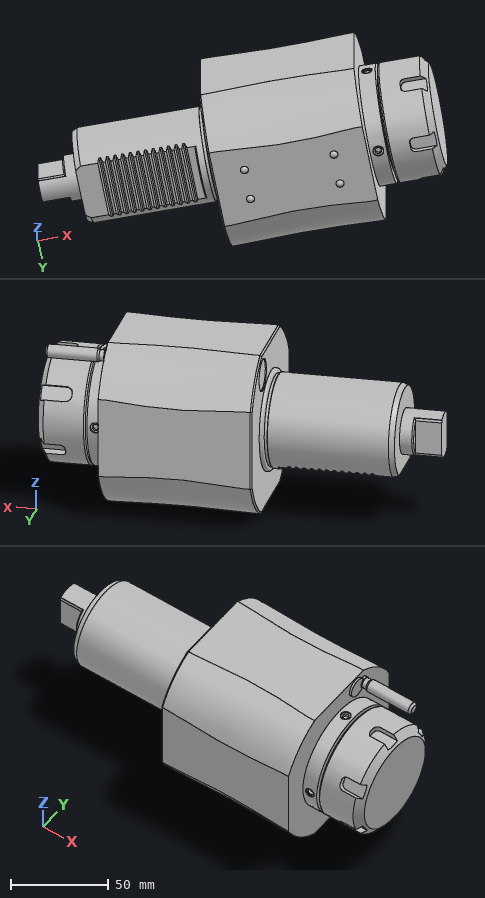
import cadquery as cq


SHANK_START = 21.0
SHANK_END = 87.8
SEAL_START = 89.5
BODY_START = 91.5
BODY_END = 172.5
COLLAR_END = 181.3
NUT_START = 182.3
NUT_RIM = 204.4
NUT_CONE_START = 205.0
NUT_END = 208.0

TANG_RADIUS = 12.0
TANG_HALF_WIDTH = 6.7
TANG_LENGTH = 13.7
TANG_EDGE_START = 9.0
TANG_EDGE_DROP = 0.52
TANG_EDGE_HEIGHT = 1.2
TANG_RIM_CHAMFER = 0.8

SHANK_RADIUS = 25.0
SHANK_LEAD_LENGTH = 3.0
SHANK_LEAD_DROP = 1.2
NECK_RADIUS = 24.3
SEAL_RADIUS = 26.8
SEAL_FILLET = 1.5
FLAT_DEPTH = 20.0
FLAT_END = 83.7
FLAT_END_CHAMFER = 0.6
TOOTH_GAP_COUNT = 12
FIRST_TOOTH_GAP = 34.3
LAST_TOOTH_GAP = 78.2
TOOTH_PITCH = (LAST_TOOTH_GAP - FIRST_TOOTH_GAP) / (TOOTH_GAP_COUNT - 1)
TOOTH_GAP_DEPTH = 1.7
TOOTH_GAP_MOUTH = 2.7
TOOTH_GAP_ROOT = 0.8

BODY_WIDTH = 88.0
BODY_CORNER_RADIUS = 49.0
BODY_WAIST_RADIUS = 48.0
BODY_BAND = 4.5
BODY_CHAMFER = 0.8

RECESS_RADIUS = 8.5
RECESS_DEPTH = 0.6
RECESS_Y = 18.5
RECESS_Z = 32.0

STUD_RADIUS = 2.0
STUD_HEIGHT = 1.7
STUD_SPACING_X = 46.8
STUD_SPACING_Y = 16.9
STUD_FIRST_X = 108.5

NUT_RADIUS = 31.5
GROOVE_RADIUS = 25.4
NUT_BACK_CHAMFER = 0.8
NUT_CONE_RADIUS = 30.8
NUT_FACE_RADIUS = 26.6
SLOT_COUNT = 6
SLOT_WIDTH = 8.0
SLOT_START = 193.5
SLOT_FLOOR_RADIUS = 28.0
SLOT_CORNER = 2.7
LONG_SLOT_START = 190.0
LONG_SLOT_CORNER = 3.7
LONG_SLOT_INDEX = 5
SCREW_COUNT = 4
SCREW_X = 176.9
SCREW_RADIUS = 2.7
SCREW_SINK = 0.8
SOCKET_RADIUS = 1.7
SOCKET_DEPTH = 2.5

PIN_Y = 20.5
PIN_Z = 36.2
PIN_RADIUS = 3.5
PIN_BASE_RADIUS = 3.1
PIN_NECK_RADIUS = 3.0
PIN_NECK_START = 174.2
PIN_NECK_END = 176.7
PIN_BODY_START = 177.7
PIN_END = 205.2
PIN_CHAMFER = 1.2
WASHER_RADIUS = 5.5
WASHER_THICKNESS = 1.2
WASHER_Y = 14.5
WASHER_Z = 37.5


def turned(profile):
    """Revolve (x, radius) points about the X axis; both ends are closed down to the axis."""
    outline = [(profile[0][0], 0)] + profile + [(profile[-1][0], 0)]
    return cq.Workplane("XY").polyline(outline).close().revolve(360, (0, 0, 0), (1, 0, 0))


def rod(start, end, radius, y=0, z=0):
    """Cylinder parallel to X."""
    return cq.Workplane("YZ", origin=(start, y, z)).circle(radius).extrude(end - start)


def make_tang():
    shoulder = turned([
        (TANG_LENGTH, TANG_RADIUS - TANG_RIM_CHAMFER),
        (TANG_LENGTH + TANG_RIM_CHAMFER, TANG_RADIUS),
        (SHANK_START, TANG_RADIUS),
    ])
    edge_end = TANG_EDGE_START + TANG_EDGE_HEIGHT
    edge_width = TANG_HALF_WIDTH - TANG_EDGE_DROP
    blade = (
        cq.Workplane("YZ")
        .moveTo(TANG_HALF_WIDTH, -TANG_EDGE_START)
        .lineTo(TANG_HALF_WIDTH, TANG_EDGE_START)
        .lineTo(edge_width, edge_end)
        .lineTo(edge_width, TANG_RADIUS)
        .lineTo(-edge_width, TANG_RADIUS)
        .lineTo(-edge_width, edge_end)
        .lineTo(-TANG_HALF_WIDTH, TANG_EDGE_START)
        .lineTo(-TANG_HALF_WIDTH, -TANG_EDGE_START)
        .lineTo(-edge_width, -edge_end)
        .lineTo(-edge_width, -TANG_RADIUS)
        .lineTo(edge_width, -TANG_RADIUS)
        .lineTo(edge_width, -edge_end)
        .close()
        .extrude(SHANK_START)
    )
    return shoulder.union(blade.intersect(rod(0, SHANK_START, TANG_RADIUS)))


def make_shank():
    shank = turned([
        (SHANK_START, SHANK_RADIUS - SHANK_LEAD_DROP),
        (SHANK_START + SHANK_LEAD_LENGTH, SHANK_RADIUS),
        (SHANK_END, SHANK_RADIUS),
        (SHANK_END, NECK_RADIUS),
        (BODY_START, NECK_RADIUS),
    ])
    seal = rod(SEAL_START, BODY_START, SEAL_RADIUS).faces("<X").edges().fillet(SEAL_FILLET)

    flat_length = FLAT_END - SHANK_START
    flat_cut = cq.Workplane("XY").box(
        flat_length, 2 * SHANK_RADIUS, SHANK_RADIUS, centered=(False, True, False)
    ).translate((SHANK_START, 0, -FLAT_DEPTH - SHANK_RADIUS))
    shank = shank.cut(flat_cut)
    end_wall = cq.selectors.NearestToPointSelector((FLAT_END, 0, -(FLAT_DEPTH + SHANK_RADIUS) / 2))
    shank = shank.faces(end_wall).edges("%CIRCLE").chamfer(FLAT_END_CHAMFER)

    gap = (
        cq.Workplane("XZ")
        .moveTo(-TOOTH_GAP_MOUTH / 2, -FLAT_DEPTH)
        .lineTo(-TOOTH_GAP_ROOT / 2, -FLAT_DEPTH + TOOTH_GAP_DEPTH)
        .lineTo(TOOTH_GAP_ROOT / 2, -FLAT_DEPTH + TOOTH_GAP_DEPTH)
        .lineTo(TOOTH_GAP_MOUTH / 2, -FLAT_DEPTH)
        .close()
        .extrude(SHANK_RADIUS, both=True)
    )
    for index in range(TOOTH_GAP_COUNT):
        shank = shank.cut(gap.translate((FIRST_TOOTH_GAP + index * TOOTH_PITCH, 0, 0)))
    return shank.union(seal)


def make_body():
    length = BODY_END - BODY_START
    bar = (
        cq.Workplane("YZ", origin=(BODY_START, 0, 0))
        .rect(BODY_WIDTH, BODY_WIDTH)
        .extrude(length)
    )
    corners = (
        cq.Workplane("XY")
        .moveTo(BODY_START, 0)
        .lineTo(BODY_START, BODY_CORNER_RADIUS)
        .lineTo(BODY_START + BODY_BAND, BODY_CORNER_RADIUS)
        .threePointArc(
            (BODY_START + length / 2, BODY_WAIST_RADIUS),
            (BODY_END - BODY_BAND, BODY_CORNER_RADIUS),
        )
        .lineTo(BODY_END, BODY_CORNER_RADIUS)
        .lineTo(BODY_END, 0)
        .close()
        .revolve(360, (0, 0, 0), (1, 0, 0))
    )
    body = bar.intersect(corners).faces("<X").chamfer(BODY_CHAMFER)
    recess = rod(BODY_START, BODY_START + RECESS_DEPTH, RECESS_RADIUS, RECESS_Y, RECESS_Z)
    return body.cut(recess)


def make_studs():
    ball_radius = (STUD_RADIUS**2 + STUD_HEIGHT**2) / (2 * STUD_HEIGHT)
    ball_z = -BODY_WIDTH / 2 - STUD_HEIGHT + ball_radius
    return (
        cq.Workplane("XY", origin=(STUD_FIRST_X + STUD_SPACING_X / 2, 0, ball_z))
        .rect(STUD_SPACING_X, STUD_SPACING_Y, forConstruction=True)
        .vertices()
        .sphere(ball_radius)
    )


def wrench_slot(start, corner):
    """Cutter above a flat floor, rounded at the back and open towards the nut face."""
    return (
        cq.Workplane("XY", origin=(0, 0, SLOT_FLOOR_RADIUS))
        .moveTo((start + NUT_END) / 2, 0)
        .rect(NUT_END - start, SLOT_WIDTH)
        .extrude(NUT_RADIUS - SLOT_FLOOR_RADIUS)
        .edges("|Z and <X")
        .fillet(corner)
    )


def make_nut():
    nut = turned([
        (BODY_END, NUT_RADIUS),
        (COLLAR_END, NUT_RADIUS),
        (COLLAR_END, GROOVE_RADIUS),
        (NUT_START, GROOVE_RADIUS),
        (NUT_START, NUT_RADIUS - NUT_BACK_CHAMFER),
        (NUT_START + NUT_BACK_CHAMFER, NUT_RADIUS),
        (NUT_RIM, NUT_RADIUS),
        (NUT_CONE_START, NUT_CONE_RADIUS),
        (NUT_END, NUT_FACE_RADIUS),
    ])
    for index in range(SLOT_COUNT):
        if index == LONG_SLOT_INDEX:
            slot = wrench_slot(LONG_SLOT_START, LONG_SLOT_CORNER)
        else:
            slot = wrench_slot(SLOT_START, SLOT_CORNER)
        nut = nut.cut(slot.rotate((0, 0, 0), (1, 0, 0), index * 360 / SLOT_COUNT))

    screw_top = cq.Workplane("XY", origin=(SCREW_X, 0, NUT_RADIUS))
    screw = screw_top.circle(SCREW_RADIUS).extrude(-SCREW_SINK)
    screw = screw.union(screw_top.circle(SOCKET_RADIUS).extrude(-SOCKET_DEPTH))
    for index in range(SCREW_COUNT):
        nut = nut.cut(screw.rotate((0, 0, 0), (1, 0, 0), index * 360 / SCREW_COUNT))
    return nut


def make_pin():
    pin = turned([
        (BODY_END, PIN_BASE_RADIUS),
        (PIN_NECK_START, PIN_BASE_RADIUS),
        (PIN_NECK_START, PIN_NECK_RADIUS),
        (PIN_NECK_END, PIN_NECK_RADIUS),
        (PIN_BODY_START, PIN_RADIUS),
        (PIN_END - PIN_CHAMFER, PIN_RADIUS),
        (PIN_END, PIN_RADIUS - PIN_CHAMFER),
    ]).translate((0, PIN_Y, PIN_Z))
    washer = rod(BODY_END, BODY_END + WASHER_THICKNESS, WASHER_RADIUS, WASHER_Y, WASHER_Z)
    return pin.union(washer)


result = (
    make_body()
    .union(make_shank())
    .union(make_tang())
    .union(make_nut())
    .union(make_studs())
    .union(make_pin())
)